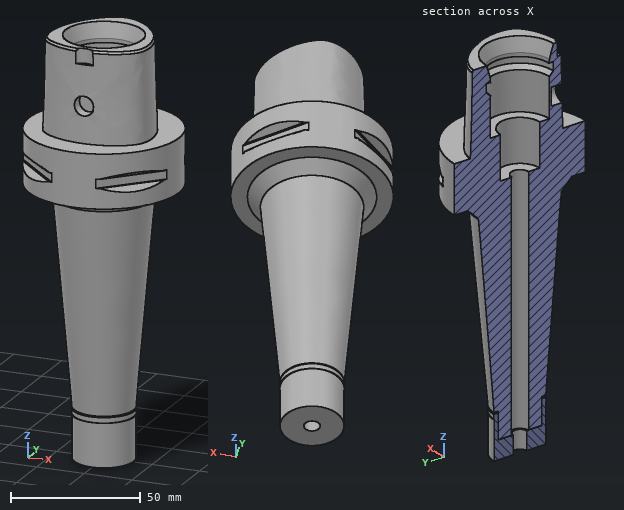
import math

import cadquery as cq


shank_height = 38.0
shank_mean_radius = 22.2
shank_taper = 1 / 40
lobe_count = 3
lobe_height = 1.6
section_points = 72
rim_chamfer_height = 1.0
rim_chamfer_inset = 0.6

flange_diameter = 63.0
flange_thickness = 22.5
shoulder_diameter = 50.0
nose_top_diameter = 40.0
shoulder_height = (shoulder_diameter - nose_top_diameter) / 2
nose_end_diameter = 25.0
nose_length = 113.8

groove_count = 4
groove_first_angle = 45.0
groove_floor_radius = 27.8
groove_flank_radius = 28.5
groove_floor_width = 3.75
groove_mouth_width = 7.8
groove_center_z = -12.2

chip_hole_diameter = 8.0
chip_hole_z = 15.2
chip_hole_floor_y = -15.0
notch_radius = 5.0
notch_depth_y = -18.0
notch_height = 6.0

mouth_diameter = 32.0
bore_diameter = 28.0
mouth_cone_depth = 6.2
undercut_top_depth = 8.0
undercut_diameter = 31.8
undercut_bottom_depth = 11.8
bore_depth = 32.0
thread_hole_diameter = 18.6
thread_hole_depth = 52.0
coolant_hole_diameter = 8.0

nut_gap = 0.5
nut_bottom_z = -135.0
nut_diameter = 24.9
nut_collar_diameter = 25.3
nut_collar_height = 2.3
nut_hole_diameter = 6.3
stub_diameter = 21.2
stub_depth_in_nut = 12.0

nut_top_z = -nose_length - nut_gap
stub_end_z = nut_top_z - stub_depth_in_nut


def lobed_section(mean_radius, z):
    """Closed three-lobed wire of constant width with one lobe toward +Y.

    The distance of the tangent line from the axis varies as a sine with three periods per turn.
    """

    def point(turn):
        angle = 2 * math.pi * turn
        support = mean_radius - lobe_height * math.sin(lobe_count * angle)
        slope = -lobe_count * lobe_height * math.cos(lobe_count * angle)
        x = support * math.cos(angle) - slope * math.sin(angle)
        y = support * math.sin(angle) + slope * math.cos(angle)
        return x, y, z

    points = [cq.Vector(*point(i / section_points)) for i in range(section_points)]
    return cq.Wire.assembleEdges([cq.Edge.makeSpline(points, periodic=True)])


def shank():
    chamfer_z = shank_height - rim_chamfer_height
    chamfer_radius = shank_mean_radius - shank_taper * chamfer_z
    base = lobed_section(shank_mean_radius, 0)
    chamfer_edge = lobed_section(chamfer_radius, chamfer_z)
    rim = lobed_section(chamfer_radius - rim_chamfer_inset, shank_height)
    taper = cq.Solid.makeLoft([base, chamfer_edge], True)
    chamfer = cq.Solid.makeLoft([chamfer_edge, rim], True)
    return cq.Workplane(taper).union(cq.Workplane(chamfer))


def revolved(profile):
    """Solid of revolution about Z from (radius, z) points."""
    return cq.Workplane("XZ").polyline(profile).close().revolve(360, (0, 0, 0), (0, 1, 0))


def flange_and_nose():
    shoulder_end_z = -flange_thickness - shoulder_height
    return revolved([
        (0, 0),
        (flange_diameter / 2, 0),
        (flange_diameter / 2, -flange_thickness),
        (shoulder_diameter / 2, -flange_thickness),
        (nose_top_diameter / 2, shoulder_end_z),
        (nose_end_diameter / 2, -nose_length),
        (stub_diameter / 2, -nose_length),
        (stub_diameter / 2, stub_end_z),
        (0, stub_end_z),
    ])


def bore():
    cone_height = (undercut_diameter - bore_diameter) / 2
    radius_and_depth = [
        (0, 0),
        (mouth_diameter / 2, 0),
        (bore_diameter / 2, mouth_cone_depth),
        (bore_diameter / 2, undercut_top_depth),
        (undercut_diameter / 2, undercut_top_depth),
        (undercut_diameter / 2, undercut_bottom_depth),
        (bore_diameter / 2, undercut_bottom_depth + cone_height),
        (bore_diameter / 2, bore_depth),
        (thread_hole_diameter / 2, bore_depth),
        (thread_hole_diameter / 2, thread_hole_depth),
        (coolant_hole_diameter / 2, thread_hole_depth),
        (coolant_hole_diameter / 2, shank_height - stub_end_z),
        (0, shank_height - stub_end_z),
    ]
    return revolved([(radius, shank_height - depth) for radius, depth in radius_and_depth])


def gripper_groove(angle):
    """Flat-floored slot with flared flanks, cut straight across the flange edge."""
    outer_radius = flange_diameter / 2
    half_floor = groove_floor_width / 2
    half_mouth = groove_mouth_width / 2
    channel = (
        cq.Workplane("XZ")
        .polyline([
            (groove_floor_radius, groove_center_z - half_floor),
            (groove_flank_radius, groove_center_z - half_floor),
            (outer_radius, groove_center_z - half_mouth),
            (outer_radius, groove_center_z + half_mouth),
            (groove_flank_radius, groove_center_z + half_floor),
            (groove_floor_radius, groove_center_z + half_floor),
        ])
        .close()
        .extrude(outer_radius, both=True)
    )
    return channel.rotate((0, 0, 0), (0, 0, 1), angle)


def chip_hole():
    return (
        cq.Workplane("XZ", origin=(0, chip_hole_floor_y, chip_hole_z))
        .circle(chip_hole_diameter / 2)
        .extrude(shank_mean_radius + chip_hole_floor_y)
    )


def driver_notch():
    """Upright round-walled notch, open at the rim and on the -Y side."""
    return (
        cq.Workplane("XY", origin=(0, notch_depth_y - notch_radius, shank_height - notch_height))
        .circle(notch_radius)
        .extrude(notch_height)
    )


def make_holder():
    body = flange_and_nose().union(shank())
    body = body.cut(bore()).cut(chip_hole()).cut(driver_notch())
    for index in range(groove_count):
        body = body.cut(gripper_groove(groove_first_angle + index * 360 / groove_count))
    return body


def make_nut():
    collar_bottom_z = nut_top_z - nut_collar_height
    return revolved([
        (stub_diameter / 2, nut_top_z),
        (nut_collar_diameter / 2, nut_top_z),
        (nut_collar_diameter / 2, collar_bottom_z),
        (nut_diameter / 2, collar_bottom_z),
        (nut_diameter / 2, nut_bottom_z),
        (nut_hole_diameter / 2, nut_bottom_z),
        (nut_hole_diameter / 2, stub_end_z),
        (stub_diameter / 2, stub_end_z),
    ])


holder = make_holder()
nut = make_nut()

result = cq.Compound.makeCompound([holder.val(), nut.val()])